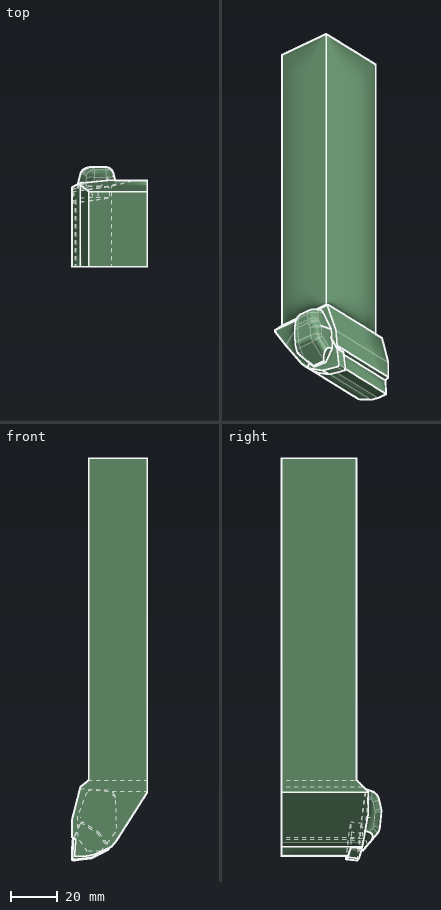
import cadquery as cq
import math


shank_width = 25.0
shank_depth = 32.0
tool_top = 171.4
head_start = 34.3
head_depth = 36.8
head_left = -7.2

inscribed_radius = 6.3
insert_thickness = 4.8
nose_angle = 80.0
nose_radius = 0.9
nose_direction = 47.0
tip_x = -7.4
tip_y = 32.0
tip_z = -0.12

rake_slope = 0.105
rake_normal = cq.Vector(-rake_slope, 1, -rake_slope)
rake_x_direction = cq.Vector(1, rake_slope, 0)
rake_plane = cq.Plane(origin=(tip_x, tip_y, tip_z), xDir=rake_x_direction, normal=rake_normal)

clamp_peak = 42.7
clamp_height = 15.5
clamp_left = -6.7
clamp_right = 13.7
crown_rounding = 5.1
wall_taper = 14.0
shoulder_radius = 3.8
root_tolerance = 0.2
climbing_steepness = 0.9
clamp_end = 4.1

block_size = 3 * tool_top


def prism_along_y(points, depth):
    """Extrude an outline of (x, z) points from y = 0 to y = depth."""
    return cq.Workplane("XZ").polyline(points).close().extrude(-depth)


def prism_along_x(points, start, end):
    """Extrude a profile of (y, z) points between two X positions."""
    return cq.Workplane("YZ", origin=(start, 0, 0)).polyline(points).close().extrude(end - start)


def make_insert():
    """Three 80 degree noses alternate with three blunt corners around the inscribed circle."""
    half_nose = math.radians(nose_angle / 2)
    nose_distance = inscribed_radius / math.sin(half_nose)
    blunt_distance = inscribed_radius / math.cos(half_nose - math.radians(30))
    middle_distance = (nose_distance + blunt_distance) / 2
    direction = math.radians(nose_direction)
    center_x = nose_distance * math.cos(direction)
    center_y = -nose_distance * math.sin(direction)
    corners = []
    for index in range(6):
        distance = nose_distance if index % 2 == 0 else blunt_distance
        angle = math.pi - direction + index * math.pi / 3
        corners.append((center_x + distance * math.cos(angle), center_y + distance * math.sin(angle)))
    plate = cq.Workplane(rake_plane).polyline(corners).close().extrude(-insert_thickness)
    center = rake_plane.toWorldCoords((center_x, center_y, -insert_thickness / 2))
    side_edges = plate.edges(cq.selectors.ParallelDirSelector(rake_normal)).vals()
    nose_edges = [edge for edge in side_edges if (edge.Center() - center).Length > middle_distance]
    return cq.Workplane(plate.val().fillet(nose_radius, nose_edges))


def make_shank_and_head():
    """Shank and cranked head, with the head's rear face cut along the rake plane."""
    outline = [
        (0, tool_top), (0, head_start), (-3.6, 31.4), (head_left, 17.3), (head_left, 10.0),
        (-5.5, 9.0), (-6.0, 1.9), (-1.4, 1.9), (2.4, 2.5), (9.6, 5.8), (11.5, 7.9),
        (shank_width, 29.1), (shank_width, tool_top),
    ]
    ramp_end = head_start - (head_depth - shank_depth)
    profile = [
        (0, 0), (0, tool_top), (shank_depth, tool_top), (shank_depth, head_start),
        (head_depth, ramp_end), (head_depth, 0),
    ]
    body = prism_along_y(outline, head_depth).intersect(prism_along_x(profile, head_left, shank_width))
    behind_rake = cq.Workplane(rake_plane).rect(block_size, 2 * head_start).extrude(block_size)
    return body.cut(behind_rake)


def make_clamp_blank():
    """Arched crown over tapered walls, with the shoulders between them rounded."""
    root = clamp_peak - clamp_height
    outline = [
        (-1.5, head_start), (clamp_left, 18.8), (-5.5, -6.9), (clamp_right, -6.9), (clamp_right, head_start),
    ]
    profile = [(root, 33.2), (41.0, 28.8), (clamp_peak, 21.5), (41.8, 12.7), (root, -4.6)]
    crown = prism_along_x(profile, head_left, shank_width)
    crown_ridges = [edge for edge in crown.edges("|X").vals() if edge.Center().y > head_depth]
    crown = cq.Workplane(crown.val().fillet(crown_rounding, crown_ridges))
    walls = (
        cq.Workplane("XZ", origin=(0, root, 0))
        .polyline(outline)
        .close()
        .extrude(-clamp_height, taper=wall_taper)
    )
    blank = walls.intersect(crown)
    shoulders = []
    for edge in blank.edges("not(|X or <Y)").vals():
        ends = (edge.startPoint(), edge.endPoint())
        starts_at_root = min(point.y for point in ends) < root + root_tolerance
        climbs_wall = abs(edge.tangentAt(0.5).y) > climbing_steepness
        if not (starts_at_root and climbs_wall):
            shoulders.append(edge)
    return cq.Workplane(blank.val().fillet(shoulder_radius, shoulders))


def make_clamp():
    """Rounded clamp with its nose trimmed, resting on the rake plane and the head."""
    nose_trim = [
        (clamp_left, head_start), (clamp_left, 10.0), (-4.5, 9.5), (-0.9, clamp_end),
        (5.1, clamp_end), (clamp_right, 15.5), (clamp_right, head_start),
    ]
    body = make_clamp_blank().intersect(prism_along_y(nose_trim, clamp_peak))
    in_front_of_rake = cq.Workplane(rake_plane).rect(block_size, block_size).extrude(-block_size)
    return body.cut(in_front_of_rake)


insert = make_insert()
holder = make_shank_and_head().union(make_clamp()).cut(insert)

result = cq.Compound.makeCompound([holder.solids().val(), insert.solids().val()])